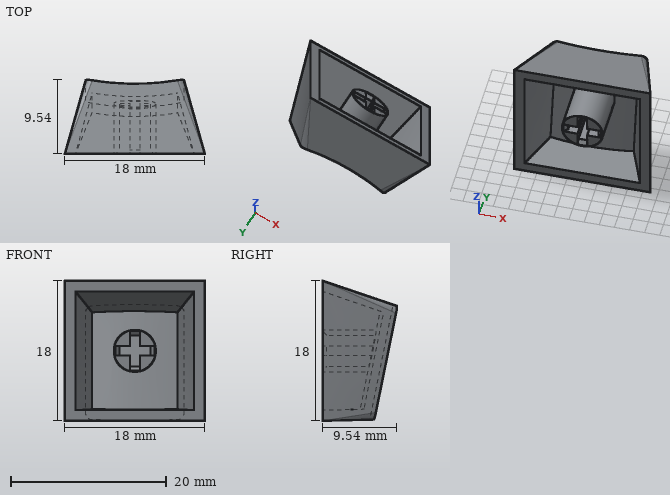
import cadquery as cq
import math

rim_side = 18.0
rim_corner_radius = 0.02
crown_width = 12.67
crown_top_z = 5.75
crown_bottom_z = -8.84
crown_corner_radius = 0.94
crown_tilt = 11.5
crown_mid_y = 8.45
dish_radius = 31.86
dish_depth = 0.61

crown_thickness = 1.5
opening_side = 15.25
floor_width = 10.89
floor_top_z = 4.9
floor_bottom_z = -7.49

stem_radius = 2.7
cross_height = 5.1
cross_width = 4.99
upright_thickness = 1.26
bar_thickness = 1.2
cross_inner_length = 4.0
cross_chamfer_depth = 0.5

tilt = math.radians(crown_tilt)
stem_length = crown_mid_y


def tilted_plane(middle_z, mid_y):
    """Plane parallel to the crown, local x along X and normal towards +Y."""
    origin = (0, mid_y + middle_z * math.tan(tilt), middle_z)
    return cq.Plane(origin=origin, xDir=(1, 0, 0), normal=(0, math.cos(tilt), -math.sin(tilt)))


def rectangle(plane, width, height, corner_radius=0.0):
    """Rectangular wire centred on a plane, with rounded corners if asked for."""
    outline = cq.Sketch().rect(width, height)
    if corner_radius:
        outline = outline.vertices().fillet(corner_radius)
    return outline.reset().faces().val().outerWire().moved(plane.location)


def tapered_solid(wires):
    return cq.Workplane(cq.Solid.makeLoft(wires, True))


def level_plane(y):
    return cq.Plane(origin=(0, y, 0), xDir=(1, 0, 0), normal=(0, 1, 0))


def slant_length(top_z, bottom_z):
    return (top_z - bottom_z) / math.cos(tilt)


def dish_cylinder(mid_y):
    """Cylinder running down the crown slope, sunk dish_depth below it."""
    plane = tilted_plane(0, mid_y)
    axis_offset = dish_radius - dish_depth
    start = plane.toWorldCoords((0, -rim_side, axis_offset))
    return cq.Workplane(cq.Solid.makeCylinder(dish_radius, 2 * rim_side, start, plane.yDir))


def outer_body():
    crown_plane = tilted_plane((crown_top_z + crown_bottom_z) / 2, crown_mid_y)
    crown_length = slant_length(crown_top_z, crown_bottom_z)
    body = tapered_solid([
        rectangle(level_plane(0), rim_side, rim_side, rim_corner_radius),
        rectangle(crown_plane, crown_width, crown_length, crown_corner_radius),
    ])
    return body.cut(dish_cylinder(crown_mid_y))


def cavity():
    floor_mid_y = crown_mid_y - crown_thickness
    floor_plane = tilted_plane((floor_top_z + floor_bottom_z) / 2, floor_mid_y)
    floor_length = slant_length(floor_top_z, floor_bottom_z)
    hollow = tapered_solid([
        rectangle(level_plane(0), opening_side, opening_side),
        rectangle(floor_plane, floor_width, floor_length),
    ])
    return hollow.cut(dish_cylinder(floor_mid_y))


def cross_arm(x_size, z_size, inner_x_size, inner_z_size):
    """One arm of the cross: a tapered mouth followed by a straight slot."""
    mouth = tapered_solid([
        rectangle(level_plane(0), x_size, z_size),
        rectangle(level_plane(cross_chamfer_depth), inner_x_size, inner_z_size),
    ])
    slot = cq.Workplane(level_plane(0)).rect(inner_x_size, inner_z_size).extrude(stem_length)
    return mouth.union(slot)


def stem():
    post = cq.Workplane(level_plane(0)).circle(stem_radius).extrude(stem_length)
    upright = cross_arm(upright_thickness, cross_height, upright_thickness, cross_inner_length)
    bar = cross_arm(cross_width, bar_thickness, cross_inner_length, bar_thickness)
    return post.cut(upright).cut(bar)


result = outer_body().cut(cavity().cut(stem()))